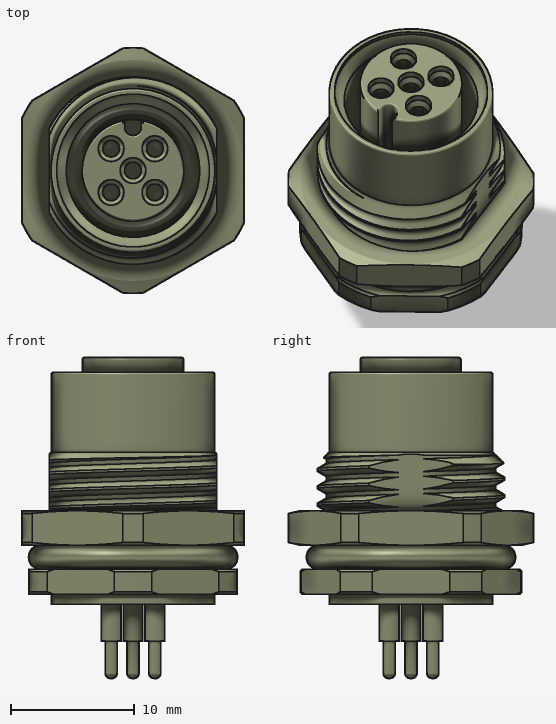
import cadquery as cq
import math

shoulder_z = 3.05
base_z = 6.0
flange_z = 6.8
seal_z = 8.87
nut_z = 10.8
nut_top_z = 13.6
thread_top_z = 18.33
collar_top_z = 24.8
core_top_z = 26.0

nut_width = 18.0
nut_corner_radius = 9.945
nut_face_radius = 8.95
nut_bevel_height = 0.23
flange_width = 16.87
flange_corner_radius = nut_width / 2
flange_bevel = 0.2

seal_radius = 8.48
seal_thickness = nut_z - seal_z

thread_radius = 7.6
root_radius = 6.86
pitch = 1.4
root_land = 0.36
flank_angle = 30.0
groove_height_at_x = 16.54
turns_below = 3
turns_above = 2
thread_flat_width = 13.57

collar_radius = 6.63
rim_radius = 6.2
rim_depth = 0.3
bore_radius = 5.4
bore_floor_z = 15.08
core_radius = 4.1
edge_round = 0.2

contact_offset = 1.77
contact_places = [(0, 0)]
for x_side in (-1, 1):
    for y_side in (-1, 1):
        contact_places.append((x_side * contact_offset, y_side * contact_offset))
pin_radius = 0.8
tail_radius = 0.5
tip_round = 0.47
socket_mouth_radius = 1.05
socket_mouth_depth = 0.6
socket_radius = 0.68
socket_depth = 2.6

key_radius = 0.68
key_y = 3.5

overlap = 0.1


def cylinder(radius, bottom, top):
    return cq.Workplane("XY").workplane(offset=bottom).circle(radius).extrude(top - bottom)


def revolved(profile):
    """Turn an X-Z profile about the Z axis."""
    return profile.close().revolve(360, (0, 0, 0), (0, 1, 0))


def bevelled_hexagon(width, corner_radius, face_radius, bevel_height, bottom, top):
    """Hexagonal plate with two flats facing +X and -X."""
    plate = (
        cq.Workplane("XY")
        .workplane(offset=bottom)
        .polygon(6, width, circumscribed=True)
        .extrude(top - bottom)
    )
    envelope = revolved(
        cq.Workplane("XZ")
        .moveTo(0, bottom)
        .lineTo(face_radius, bottom)
        .lineTo(corner_radius, bottom + bevel_height)
        .lineTo(corner_radius, top - bevel_height)
        .lineTo(face_radius, top)
        .lineTo(0, top)
    )
    return plate.intersect(envelope)


def seal():
    """Sealing ring with a half-round rim, filled to the axis."""
    rim_centre = seal_radius - seal_thickness / 2
    return revolved(
        cq.Workplane("XZ")
        .moveTo(0, seal_z)
        .lineTo(rim_centre, seal_z)
        .threePointArc((seal_radius, (seal_z + nut_z) / 2), (rim_centre, nut_z))
        .lineTo(0, nut_z)
    )


def thread_groove():
    """Right-handed trapezoidal groove that runs out through the chamfer at the thread top."""
    outer_radius = thread_radius + overlap
    half_land = root_land / 2
    half_mouth = half_land + (outer_radius - root_radius) * math.tan(math.radians(flank_angle))
    start_z = groove_height_at_x - turns_below * pitch
    turns = turns_below + turns_above
    helix = cq.Wire.makeHelix(pitch, turns * pitch, root_radius).translate(cq.Vector(0, 0, start_z))
    section = (
        cq.Workplane("XZ")
        .moveTo(root_radius, start_z - half_land)
        .lineTo(outer_radius, start_z - half_mouth)
        .lineTo(outer_radius, start_z + half_mouth)
        .lineTo(root_radius, start_z + half_land)
        .close()
    )
    return section.sweep(cq.Workplane(obj=helix), isFrenet=True)


def threaded_barrel():
    """Threaded length with a 45 degree chamfer at the top and a flat on each X side."""
    thread = cylinder(thread_radius, nut_z, core_top_z).cut(thread_groove())
    chamfer_height = thread_radius - collar_radius
    envelope = revolved(
        cq.Workplane("XZ")
        .moveTo(0, nut_z)
        .lineTo(thread_radius, nut_z)
        .lineTo(thread_radius, thread_top_z - chamfer_height)
        .lineTo(collar_radius, thread_top_z)
        .lineTo(0, thread_top_z)
    )
    flats = (
        cq.Workplane("XY")
        .workplane(offset=nut_z)
        .rect(thread_flat_width, 2 * thread_radius + overlap)
        .extrude(thread_top_z - nut_z)
    )
    return thread.intersect(envelope).intersect(flats)


def collar():
    return cylinder(collar_radius, thread_top_z, collar_top_z).faces(">Z").edges().fillet(edge_round)


def bore():
    """Space around the carrier: lead-in cone, straight bore and a convex ring at the bottom."""
    cone_top_z = collar_top_z - rim_depth
    ring_radius = (bore_radius - core_radius) / 2
    return revolved(
        cq.Workplane("XZ")
        .moveTo(0, bore_floor_z)
        .lineTo(core_radius, bore_floor_z)
        .threePointArc(
            (core_radius + ring_radius, bore_floor_z + ring_radius),
            (bore_radius, bore_floor_z),
        )
        .lineTo(bore_radius, cone_top_z - (rim_radius - bore_radius))
        .lineTo(rim_radius, cone_top_z)
        .lineTo(rim_radius, collar_top_z)
        .lineTo(0, collar_top_z)
    )


def socket():
    """Contact hole for a pin, with a wide mouth and a 45 degree cone; its mouth is at the origin."""
    cone_end = socket_mouth_depth + socket_mouth_radius - socket_radius
    return revolved(
        cq.Workplane("XZ")
        .lineTo(socket_mouth_radius, 0)
        .lineTo(socket_mouth_radius, -socket_mouth_depth)
        .lineTo(socket_radius, -cone_end)
        .lineTo(socket_radius, -socket_depth)
        .lineTo(0, -socket_depth)
    )


def carrier():
    """Contact carrier with its keyway and five sockets."""
    height = core_top_z - bore_floor_z
    keyway = (
        cq.Workplane("XY")
        .workplane(offset=bore_floor_z)
        .moveTo(-key_radius, core_radius + overlap)
        .lineTo(-key_radius, key_y)
        .threePointArc((0, key_y - key_radius), (key_radius, key_y))
        .lineTo(key_radius, core_radius + overlap)
        .close()
        .extrude(height)
    )
    core = cylinder(core_radius, bore_floor_z, core_top_z).cut(keyway)
    core = core.faces(">Z").edges().fillet(edge_round)
    for x, y in contact_places:
        core = core.cut(socket().translate((x, y, core_top_z)))
    return core


def pin():
    """Pin body with a thinner, round-ended solder tail, on the Z axis."""
    tail = cylinder(tail_radius, 0, shoulder_z).faces("<Z").edges().fillet(tip_round)
    return tail.union(cylinder(pin_radius, shoulder_z, base_z + overlap))


def flange():
    face_radius = flange_corner_radius - flange_bevel
    return bevelled_hexagon(flange_width, flange_corner_radius, face_radius, flange_bevel, flange_z, seal_z)


def nut():
    return bevelled_hexagon(nut_width, nut_corner_radius, nut_face_radius, nut_bevel_height, nut_z, nut_top_z)


base = cylinder(collar_radius, base_z, flange_z)
housing = base.union(flange()).union(seal()).union(threaded_barrel()).union(nut()).union(collar())
result = housing.cut(bore()).union(carrier())
for pin_x, pin_y in contact_places:
    result = result.union(pin().translate((pin_x, pin_y, 0)))